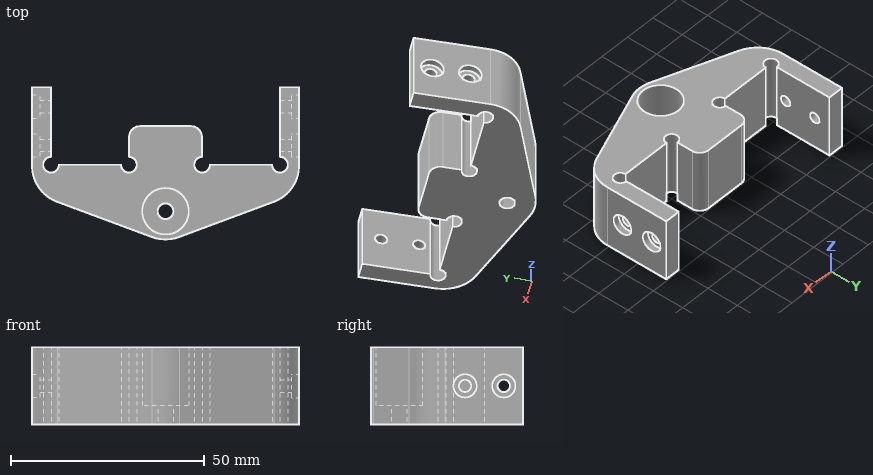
import cadquery as cq
import math

width = 69.0
height = 20.0
depth = 39.3
half_width = width / 2
rear_y = depth / 2
front_y = -depth / 2

arm_thickness = 5.0
arm_length = 20.0
floor_y = rear_y - arm_length
block_half_width = 9.45
block_rear_y = rear_y - arm_length / 2
block_corner_radius = 3.0
relief_diameter = 4.0

outer_radius = 10.0
corner_x = half_width - outer_radius
corner_offset = 20.2
corner_y = rear_y - corner_offset
nose_y = front_y + outer_radius
slope = math.atan2(corner_y - nose_y, corner_x)

pivot_offset = 32.0
pivot_y = rear_y - pivot_offset
pivot_diameter = 4.0
pivot_bore_diameter = 12.0
pivot_floor_thickness = 5.0
pivot_bore_depth = height - pivot_floor_thickness

screw_diameter = 3.2
screw_head_diameter = 6.0
screw_head_depth = 2.0
screw_offsets = (arm_length / 4, arm_length * 3 / 4)


def on_arc(center_x, center_y, angle):
    """Point on an outer arc, with the angle measured from the -Y direction."""
    return (
        center_x + outer_radius * math.sin(angle),
        center_y - outer_radius * math.cos(angle),
    )


def make_body():
    """Extrude the bracket outline, with its arms and rounded front."""
    inner_x = half_width - arm_thickness
    corner_middle = (slope + math.pi / 2) / 2
    return (
        cq.Workplane("XY")
        .moveTo(-half_width, rear_y)
        .lineTo(-half_width, corner_y)
        .threePointArc(on_arc(-corner_x, corner_y, -corner_middle), on_arc(-corner_x, corner_y, -slope))
        .lineTo(*on_arc(0, nose_y, -slope))
        .threePointArc((0, front_y), on_arc(0, nose_y, slope))
        .lineTo(*on_arc(corner_x, corner_y, slope))
        .threePointArc(on_arc(corner_x, corner_y, corner_middle), (half_width, corner_y))
        .lineTo(half_width, rear_y)
        .lineTo(inner_x, rear_y)
        .lineTo(inner_x, floor_y)
        .lineTo(-inner_x, floor_y)
        .lineTo(-inner_x, rear_y)
        .close()
        .extrude(height)
    )


def make_block():
    """Central block behind the floor, with rounded rear corners."""
    block_length = block_rear_y - floor_y
    return (
        cq.Workplane("XY", origin=(0, floor_y, 0))
        .rect(2 * block_half_width, 2 * block_length)
        .extrude(height)
        .edges("|Z and >Y")
        .fillet(block_corner_radius)
    )


def make_reliefs():
    """Round reliefs through the four inner corners of the pockets."""
    inner_x = half_width - arm_thickness
    centers = [(side * x, floor_y) for side in (-1, 1) for x in (block_half_width, inner_x)]
    return cq.Workplane("XY").pushPoints(centers).circle(relief_diameter / 2).extrude(height)


def make_pivot_hole():
    """Through hole with a deep counterbore from the top."""
    through = cq.Workplane("XY").center(0, pivot_y).circle(pivot_diameter / 2).extrude(height)
    bore = (
        cq.Workplane("XY", origin=(0, pivot_y, pivot_floor_thickness))
        .circle(pivot_bore_diameter / 2)
        .extrude(pivot_bore_depth)
    )
    return through.union(bore)


def make_screw_hole(side, offset):
    """Hole through one arm, counterbored from its outer face."""
    start = cq.Vector(side * half_width, rear_y - offset, height / 2)
    inward = cq.Vector(-side, 0, 0)
    shank = cq.Solid.makeCylinder(screw_diameter / 2, arm_thickness, start, inward)
    head = cq.Solid.makeCylinder(screw_head_diameter / 2, screw_head_depth, start, inward)
    return cq.Workplane(shank.fuse(head))


result = make_body().union(make_block()).cut(make_reliefs()).cut(make_pivot_hole())
for side in (-1, 1):
    for offset in screw_offsets:
        result = result.cut(make_screw_hole(side, offset))